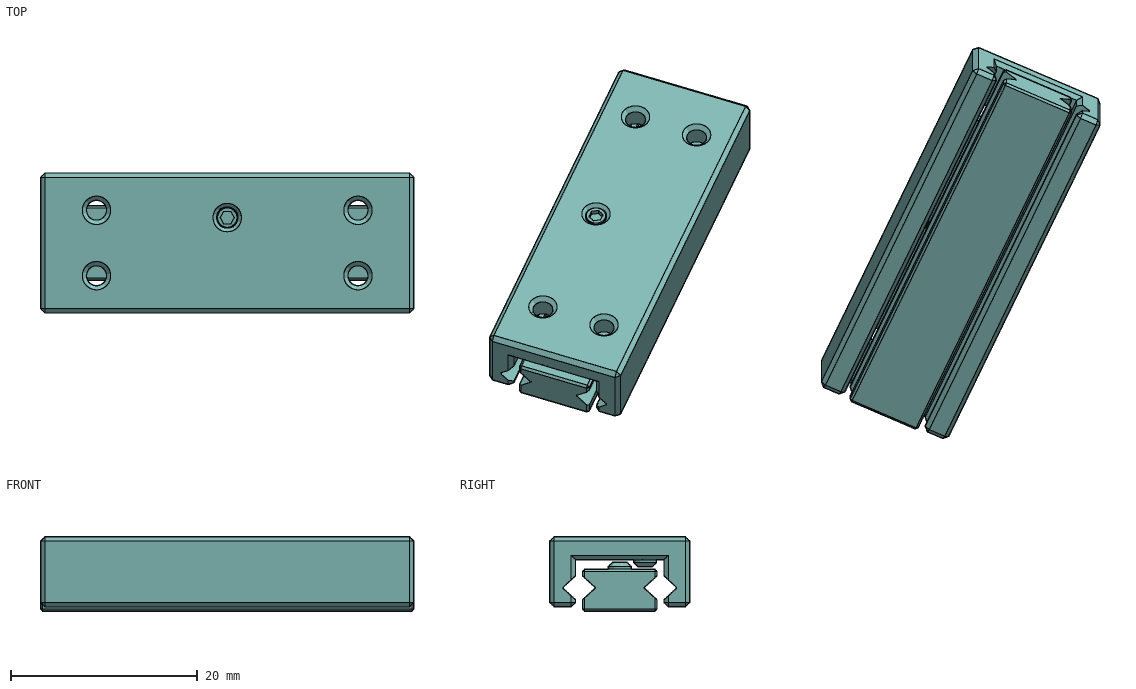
import cadquery as cq
import math

LENGTH = 40.0
CARRIAGE_WIDTH = 15.0
TOTAL_HEIGHT = 8.0

CARRIAGE_BOTTOM = 0.5
CARRIAGE_HEIGHT = TOTAL_HEIGHT - CARRIAGE_BOTTOM
CARRIAGE_CHAMFER = 0.5
CEILING_Z = 5.5
CEILING_THICKNESS = TOTAL_HEIGHT - CEILING_Z
CHANNEL_WIDTH = 9.45

RAIL_WIDTH = 8.0
RAIL_HEIGHT = 4.5
RAIL_CHAMFER = 0.25

GROOVE_Z = 2.5
GROOVE_DEPTH = 1.4
GROOVE_OPENING = 2.55
CARRIAGE_GROOVE_TIP_RADIUS = 0.15

COUNTERSINK_DIAMETER = 3.05
COUNTERSINK_ANGLE = 90.0
HOLE_DIAMETER = 2.1
MOUNT_SPACING_X = 28.0
MOUNT_SPACING_Y = 7.0

SCREW_DIAMETER = 2.5
SCREW_LENGTH = 2.95
SCREW_PROTRUSION = 0.75
TIP_CHAMFER = 0.5
TOP_CHAMFER = 0.2
SOCKET_ACROSS_FLATS = 1.3
SOCKET_DEPTH = 0.5
CARRIAGE_SCREW_Y = 2.7


def v_groove(wall_y, side):
    """V-shaped cutter along X with its mouth at wall_y; its tip points to +Y or -Y as side is 1 or -1."""
    return (
        cq.Workplane("YZ", origin=(-LENGTH / 2, wall_y, GROOVE_Z))
        .polyline([(0, GROOVE_OPENING / 2), (side * GROOVE_DEPTH, 0), (0, -GROOVE_OPENING / 2)])
        .close()
        .extrude(LENGTH)
    )


def make_carriage():
    block = cq.Workplane("XY", origin=(0, 0, CARRIAGE_BOTTOM)).box(
        LENGTH, CARRIAGE_WIDTH, CARRIAGE_HEIGHT, centered=(True, True, False)
    )
    channel = cq.Workplane("XY", origin=(0, 0, CARRIAGE_BOTTOM)).box(
        LENGTH, CHANNEL_WIDTH, CEILING_Z - CARRIAGE_BOTTOM, centered=(True, True, False)
    )
    body = block.cut(channel).faces("<X or >X or <Z or >Z").edges().chamfer(CARRIAGE_CHAMFER)

    for side, tip_edge in ((-1, "<Y"), (1, ">Y")):
        groove = v_groove(side * CHANNEL_WIDTH / 2, side)
        body = body.cut(groove.edges(tip_edge).fillet(CARRIAGE_GROOVE_TIP_RADIUS))

    return cut_top_holes(body)


def cut_top_holes(body):
    hole_places = [
        (side_x * MOUNT_SPACING_X / 2, side_y * MOUNT_SPACING_Y / 2)
        for side_x in (-1, 1)
        for side_y in (-1, 1)
    ]
    hole_places.append((0, CARRIAGE_SCREW_Y))
    return (
        body.faces(">Z")
        .workplane(origin=(0, 0, TOTAL_HEIGHT))
        .pushPoints(hole_places)
        .cskHole(HOLE_DIAMETER, COUNTERSINK_DIAMETER, COUNTERSINK_ANGLE, CEILING_THICKNESS)
    )


def make_rail():
    body = cq.Workplane("XY").box(LENGTH, RAIL_WIDTH, RAIL_HEIGHT, centered=(True, True, False))
    body = body.edges().chamfer(RAIL_CHAMFER)

    for side in (-1, 1):
        body = body.cut(v_groove(side * RAIL_WIDTH / 2, -side))

    return body


def make_screw_blank():
    """Stop screw without its socket, along Z: the stop tip is below Z = 0, the buried part above."""
    return (
        cq.Workplane("XY", origin=(0, 0, -SCREW_PROTRUSION))
        .circle(SCREW_DIAMETER / 2)
        .extrude(SCREW_LENGTH)
        .faces("<Z")
        .chamfer(TIP_CHAMFER)
        .faces(">Z")
        .chamfer(TOP_CHAMFER)
    )


def make_stop_screw():
    return (
        make_screw_blank()
        .faces(">Z")
        .workplane()
        .polygon(6, SOCKET_ACROSS_FLATS / math.cos(math.pi / 6))
        .cutBlind(-SOCKET_DEPTH)
    )


def place_in_carriage(screw):
    """Tip down, hanging below the ceiling of the channel."""
    return screw.translate((0, CARRIAGE_SCREW_Y, CEILING_Z))


def place_in_rail(screw):
    """Turned over, tip up, standing on the top of the rail."""
    return screw.rotate((0, 0, 0), (1, 0, 0), 180).translate((0, 0, RAIL_HEIGHT))


carriage = make_carriage().cut(place_in_carriage(make_screw_blank()))
rail = make_rail().cut(place_in_rail(make_screw_blank()))
stop_screws = [place(make_stop_screw()) for place in (place_in_carriage, place_in_rail)]

result = cq.Compound.makeCompound(
    [carriage.val(), rail.val(), *[screw.val() for screw in stop_screws]]
)